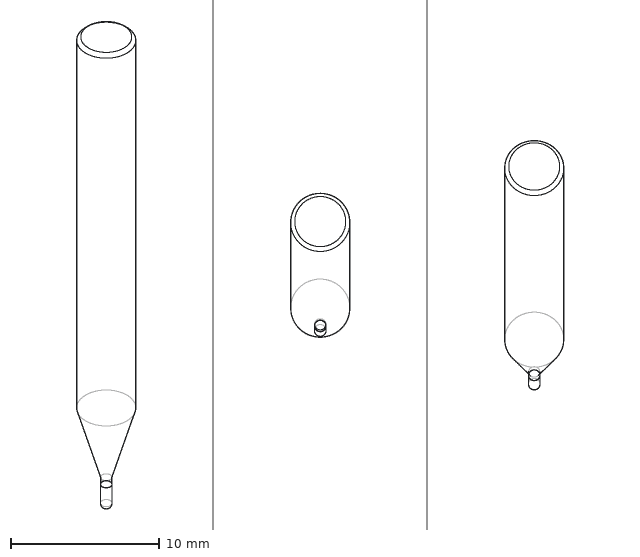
import cadquery as cq

total_length = 40.0
shank_radius = 2.0
end_chamfer = 0.3

cutter_radius = 0.4
cutter_length = 2.0

neck_radius = 0.38
neck_top = 2.6
cone_top = 8.5


def make_cutter():
    """Slim cylinder with a hemispherical lower end."""
    arc_offset = cutter_radius * 0.5 ** 0.5
    return (
        cq.Workplane("XZ")
        .moveTo(0, 0)
        .threePointArc(
            (arc_offset, cutter_radius - arc_offset),
            (cutter_radius, cutter_radius),
        )
        .lineTo(cutter_radius, cutter_length)
        .lineTo(0, cutter_length)
        .close()
        .revolve(360, (0, 0), (0, 1))
    )


def make_shank():
    """Neck, cone and round shank with a chamfered upper end."""
    return (
        cq.Workplane("XZ")
        .moveTo(0, cutter_length)
        .lineTo(neck_radius, cutter_length)
        .lineTo(neck_radius, neck_top)
        .lineTo(shank_radius, cone_top)
        .lineTo(shank_radius, total_length)
        .lineTo(0, total_length)
        .close()
        .revolve(360, (0, 0), (0, 1))
        .faces(">Z")
        .chamfer(end_chamfer)
    )


cutter = make_cutter()
shank = make_shank()

result = cq.Compound.makeCompound([cutter.val(), shank.val()])